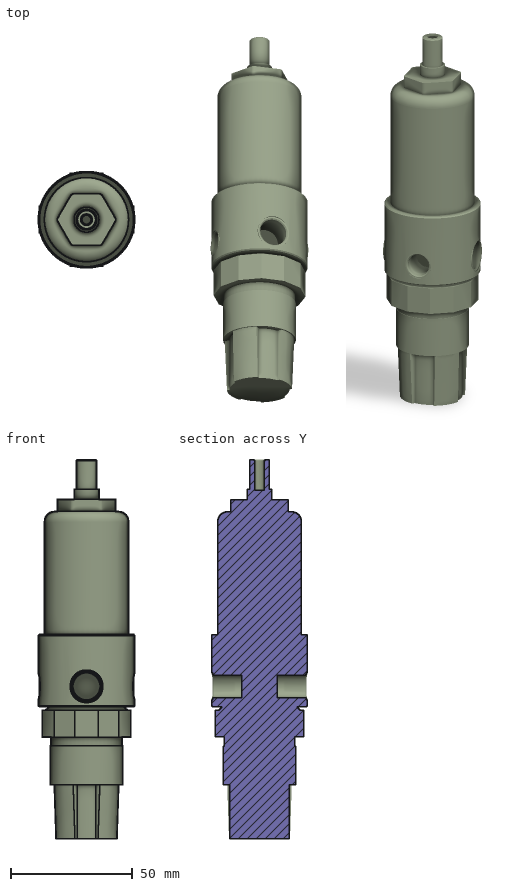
import cadquery as cq
import math

handle_top = 22.1
collar_top = 38.1
nut_bottom = 41.7
nut_top = 52.8
body_bottom = 54.2
body_top = 84.0
barrel_top = 134.4
cap_nut_top = 139.4
gland_top = 143.5
stem_top = 155.7

collar_radius = 15.0
collar_neck_radius = 14.6
body_radius = 19.8
body_edge_chamfer = 0.5
body_neck_bottom_radius = 16.8
body_neck_top_radius = 15.4
barrel_radius = 17.3
barrel_shoulder_radius = 4.2
gland_radius = 5.1
stem_radius = 4.2
stem_edge_chamfer = 0.5

bore_radius = 1.9
bore_depth = 12.5
bore_countersink = 0.5

nut_sides = 12
nut_across_flats = 36.5
cap_nut_sides = 6
cap_nut_across_flats = 21.2
cap_nut_corner_radius = 1.5

handle_foot_radius = 13.4
handle_top_radius = 14.3
flute_count = 4
flute_floor_radius = 12.3
flute_floor_width = 7.8
flute_wall_angle = 45.0

port_height = 62.6
port_depth = 12.5
large_port_radius = 5.6
small_port_radius = 4.5
large_seat_radius = 6.7
small_seat_radius = 5.5
large_seat_distance = 19.2
small_seat_distance = 19.3
port_chamfer = 0.5


def disc(radius, bottom, top):
    return cq.Workplane("XY").workplane(offset=bottom).circle(radius).extrude(top - bottom)


def cone(bottom_radius, top_radius, bottom, top):
    profile = [(0, bottom), (bottom_radius, bottom), (top_radius, top), (0, top)]
    return cq.Workplane("XZ").polyline(profile).close().revolve(360, (0, 0), (0, 1))


def prism(sides, across_flats, bottom, top):
    """Regular prism with an even number of sides."""
    across_corners = across_flats / math.cos(math.pi / sides)
    return cq.Workplane("XY").workplane(offset=bottom).polygon(sides, across_corners).extrude(top - bottom)


def make_handle():
    """Tapered handle with flutes that have a round floor and slanted walls."""
    handle = cone(handle_foot_radius, handle_top_radius, 0, handle_top)
    half_floor = flute_floor_width / 2
    floor_edge = math.sqrt(flute_floor_radius**2 - half_floor**2)
    mouth = collar_radius
    half_mouth = half_floor + (mouth - floor_edge) * math.tan(math.radians(flute_wall_angle))
    flute = (
        cq.Workplane("XY")
        .moveTo(mouth, -half_mouth)
        .lineTo(floor_edge, -half_floor)
        .threePointArc((flute_floor_radius, 0), (floor_edge, half_floor))
        .lineTo(mouth, half_mouth)
        .close()
        .extrude(handle_top)
    )
    for index in range(flute_count):
        handle = handle.cut(flute.rotate((0, 0, 0), (0, 0, 1), index * 360 / flute_count))
    return handle


def make_lower_nut():
    """Twelve-sided nut with a flat facing each of the X and Y directions."""
    nut = prism(nut_sides, nut_across_flats, nut_bottom, nut_top)
    return nut.rotate((0, 0, 0), (0, 0, 1), 180 / nut_sides)


def lay_radially(cutter, angle):
    """Lay a shape built along Z down at port height, pointing at the given angle from +X."""
    laid = cutter.rotate((0, 0, 0), (0, 1, 0), 90).translate((0, 0, port_height))
    return laid.rotate((0, 0, 0), (0, 0, 1), angle)


def add_port(body, radius, seat_radius, seat_distance, angle):
    """Give the round wall a flat seat ring around a blind hole with a chamfered mouth."""
    port_bottom = body_radius - port_depth
    seat = disc(seat_radius, port_bottom, seat_distance)
    recess = disc(seat_radius, seat_distance, body_radius)
    hole = disc(radius, port_bottom, seat_distance)
    mouth = cone(radius, radius + port_chamfer, seat_distance - port_chamfer, seat_distance)
    body = body.union(lay_radially(seat, angle))
    for cutter in (recess, hole, mouth):
        body = body.cut(lay_radially(cutter, angle))
    return body


def make_body():
    """Round body with a large port on each Y side and a small port on each X side."""
    body = disc(body_radius, body_bottom, body_top).edges("%CIRCLE").chamfer(body_edge_chamfer)
    for angle in (0, 180):
        body = add_port(body, small_port_radius, small_seat_radius, small_seat_distance, angle)
        body = add_port(body, large_port_radius, large_seat_radius, large_seat_distance, angle + 90)
    return body


def make_barrel():
    return disc(barrel_radius, body_top, barrel_top).faces(">Z").edges().fillet(barrel_shoulder_radius)


def make_cap_nut():
    nut = prism(cap_nut_sides, cap_nut_across_flats, barrel_top, cap_nut_top)
    return nut.edges("|Z").fillet(cap_nut_corner_radius)


def make_stem():
    stem = disc(stem_radius, gland_top, stem_top).faces(">Z").edges().chamfer(stem_edge_chamfer)
    bore = disc(bore_radius, stem_top - bore_depth, stem_top)
    countersink = cone(bore_radius, bore_radius + bore_countersink, stem_top - bore_countersink, stem_top)
    return disc(gland_radius, cap_nut_top, gland_top).union(stem).cut(bore).cut(countersink)


sections = [
    disc(collar_radius, handle_top, collar_top),
    disc(collar_neck_radius, collar_top, nut_bottom),
    make_lower_nut(),
    cone(body_neck_bottom_radius, body_neck_top_radius, nut_top, body_bottom),
    make_body(),
    make_barrel(),
    make_cap_nut(),
    make_stem(),
]

result = make_handle()
for section in sections:
    result = result.union(section)